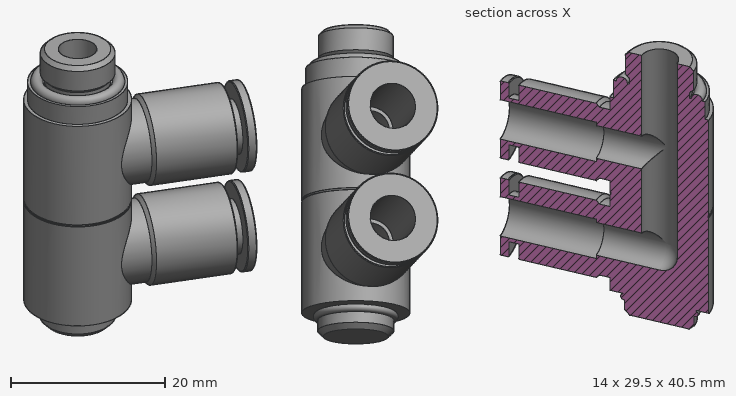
import cadquery as cq

total_height = 40.5
body_diameter = 14.0
body_bottom = 3.1
body_top = 32.95
seam_width = 0.25
seam_depth = 0.12
body_middle = (body_bottom + body_top) / 2
module_height = body_middle - body_bottom

collar_diameter = 13.0
collar_top = 35.65
stud_diameter = 9.7
stud_neck_diameter = 8.6
stud_bottom = 36.45
stud_edge_height = 0.55
upper_seal_radius = 0.8
upper_seal_outer_diameter = 12.25

plug_diameter = 9.9
plug_chamfer = 0.73
lower_seal_radius = 0.5
lower_seal_outer_diameter = 11.0

port_heights = [body_bottom + module_height / 2, body_middle + module_height / 2]
branch_diameter = 11.0
sleeve_diameter = 12.0
sleeve_start = 8.42
sleeve_end = 19.9
sleeve_chamfer = 0.5
release_neck_diameter = 7.3
release_ring_start = 21.22
port_end = 22.48
edge_break = 0.12

bore_diameter = 5.0
tube_diameter = 6.0
tube_socket_start = 8.9


def vertical_cylinder(diameter, bottom, top):
    """Cylinder on the Z axis between two heights."""
    return cq.Workplane("XY").workplane(offset=bottom).circle(diameter / 2).extrude(top - bottom)


def port_cylinder(diameter, start, end, height):
    """Cylinder parallel to +Y between two distances from the body axis."""
    plane = cq.Plane(origin=(0, start, height), xDir=(1, 0, 0), normal=(0, 1, 0))
    return cq.Workplane(plane).circle(diameter / 2).extrude(end - start)


def seal_ring(outer_diameter, section_radius, height):
    """O-ring around the Z axis."""
    centre_radius = outer_diameter / 2 - section_radius
    return cq.Workplane("XY").add(
        cq.Solid.makeTorus(centre_radius, section_radius, cq.Vector(0, 0, height))
    )


def make_body():
    body = vertical_cylinder(body_diameter, body_bottom, body_top)
    seam_bottom = body_middle - seam_width / 2
    seam_top = body_middle + seam_width / 2
    seam = vertical_cylinder(body_diameter, seam_bottom, seam_top).cut(
        vertical_cylinder(body_diameter - 2 * seam_depth, seam_bottom, seam_top)
    )
    return body.cut(seam)


def make_stud():
    edge_inset = (stud_diameter - stud_neck_diameter) / 2
    stud = vertical_cylinder(stud_diameter, stud_bottom, total_height)
    stud = stud.edges().chamfer(stud_edge_height, edge_inset)
    neck = vertical_cylinder(stud_neck_diameter, collar_top, stud_bottom)
    collar = vertical_cylinder(collar_diameter, body_top, collar_top)
    seal = seal_ring(upper_seal_outer_diameter, upper_seal_radius, collar_top)
    return collar.union(neck).union(stud).union(seal)


def make_plug():
    plug = vertical_cylinder(plug_diameter, 0, body_bottom).faces("<Z").chamfer(plug_chamfer)
    seal_height = body_bottom - lower_seal_radius
    return plug.union(seal_ring(lower_seal_outer_diameter, lower_seal_radius, seal_height))


def make_port(height):
    branch = port_cylinder(branch_diameter, 0, sleeve_start, height)
    sleeve = port_cylinder(sleeve_diameter, sleeve_start, sleeve_end, height)
    sleeve = sleeve.faces("<Y").chamfer(sleeve_chamfer).faces(">Y").chamfer(edge_break)
    neck = port_cylinder(release_neck_diameter, sleeve_end, release_ring_start, height)
    ring = port_cylinder(sleeve_diameter, release_ring_start, port_end, height)
    ring = ring.edges().chamfer(edge_break)
    return branch.union(sleeve).union(neck).union(ring)


def make_passages():
    """Top bore with a rounded lower end, branching into a tube socket at each port."""
    lowest_port = port_heights[0]
    passages = vertical_cylinder(bore_diameter, lowest_port, total_height)
    passages = passages.union(cq.Workplane("XY", origin=(0, 0, lowest_port)).sphere(bore_diameter / 2))
    for height in port_heights:
        passages = passages.union(port_cylinder(bore_diameter, 0, tube_socket_start, height))
        passages = passages.union(port_cylinder(tube_diameter, tube_socket_start, port_end, height))
    return passages


result = make_body().union(make_stud()).union(make_plug())
for port_height in port_heights:
    result = result.union(make_port(port_height))
result = result.cut(make_passages()).solids()